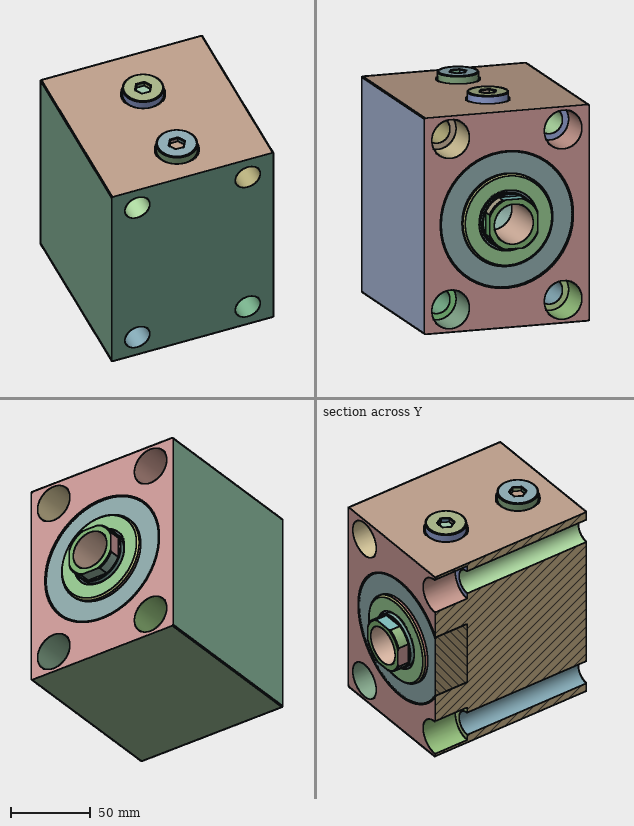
import cadquery as cq
import math


LENGTH = 118.0
WIDTH = 110.0
HEIGHT = 140.0
EDGE_CHAMFER = 0.6

BOLT_PITCH_Y = 75.0
BOLT_PITCH_Z = 110.3
BOLT_HOLE_DIAMETER = 17.0
COUNTERBORE_DIAMETER = 25.0
COUNTERBORE_DEPTH = 25.0

GLAND_DIAMETER = 87.5
GLAND_DEPTH = 25.0
GLAND_SEAT_CHAMFER = 0.7
COLLAR_DIAMETER = 60.0
COLLAR_HEIGHT = 3.0
COLLAR_CHAMFER = 1.2
WIPER_SEAT_DIAMETER = 39.1
WIPER_SEAT_DEPTH = 1.5

ROD_DIAMETER = 36.0
ROD_PROTRUSION = 13.0
ROD_INNER_LENGTH = 50.0
HEAD_DIAMETER = 35.0
HEAD_LENGTH = 8.0
HEAD_FLATS = 32.0
HEAD_TIP_CHAMFER = 0.6
ROD_HOLE_DIAMETER = 26.0
ROD_HOLE_DEPTH = 40.0
DRILL_POINT_ANGLE = 118

PLUG_POSITIONS_X = (36.0, 91.9)
PLUG_DIAMETER = 26.0
PLUG_PROTRUSION = 4.9
PLUG_CHAMFER = 0.6
PORT_RECESS_DIAMETER = 28.0
PORT_RECESS_DEPTH = 1.0
SOCKET_SIDES = 6
SOCKET_FLATS = 9.0
SOCKET_DEPTH = 3.0
SOCKET_CHAMFER = 0.5

TOP = HEIGHT / 2


def rod_axis_cylinder(diameter, start, end):
    """Cylinder on the X axis between two X positions."""
    return cq.Workplane("YZ", origin=(start, 0, 0)).circle(diameter / 2).extrude(end - start)


def make_housing():
    block = cq.Workplane("XY").box(LENGTH, WIDTH, HEIGHT).translate((LENGTH / 2, 0, 0))
    block = block.edges("|X").chamfer(EDGE_CHAMFER)

    gland_seat = rod_axis_cylinder(GLAND_DIAMETER, 0, GLAND_DEPTH)
    block = block.cut(gland_seat)
    block = block.faces("<X").edges("%CIRCLE").chamfer(GLAND_SEAT_CHAMFER)
    block = block.cut(rod_axis_cylinder(ROD_DIAMETER, 0, ROD_INNER_LENGTH))

    front = cq.Workplane("YZ").rarray(BOLT_PITCH_Y, BOLT_PITCH_Z, 2, 2)
    block = block.cut(front.circle(BOLT_HOLE_DIAMETER / 2).extrude(LENGTH))
    block = block.cut(front.circle(COUNTERBORE_DIAMETER / 2).extrude(COUNTERBORE_DEPTH))

    ports = cq.Workplane("XY", origin=(0, 0, TOP)).pushPoints([(x, 0) for x in PLUG_POSITIONS_X])
    return block.cut(ports.circle(PORT_RECESS_DIAMETER / 2).extrude(-PORT_RECESS_DEPTH))


def make_gland():
    collar = rod_axis_cylinder(COLLAR_DIAMETER, -COLLAR_HEIGHT, 0)
    collar = collar.faces("<X").chamfer(COLLAR_CHAMFER)
    gland = rod_axis_cylinder(GLAND_DIAMETER, 0, GLAND_DEPTH).union(collar)
    gland = gland.cut(rod_axis_cylinder(ROD_DIAMETER, -COLLAR_HEIGHT, GLAND_DEPTH))
    wiper_seat = rod_axis_cylinder(WIPER_SEAT_DIAMETER, -COLLAR_HEIGHT, WIPER_SEAT_DEPTH - COLLAR_HEIGHT)
    return gland.cut(wiper_seat)


def make_rod():
    tip = -ROD_PROTRUSION
    shoulder = tip + HEAD_LENGTH

    head = rod_axis_cylinder(HEAD_DIAMETER, tip, shoulder).faces("<X").chamfer(HEAD_TIP_CHAMFER)
    flats = cq.Workplane("YZ", origin=(tip, 0, 0)).rect(HEAD_FLATS, HEAD_FLATS).extrude(HEAD_LENGTH)
    head = head.intersect(flats)

    shank = rod_axis_cylinder(ROD_DIAMETER, shoulder, ROD_INNER_LENGTH)
    shank = shank.faces("<X").chamfer((ROD_DIAMETER - HEAD_DIAMETER) / 2)

    radius = ROD_HOLE_DIAMETER / 2
    bottom = tip + ROD_HOLE_DEPTH
    point = bottom + radius / math.tan(math.radians(DRILL_POINT_ANGLE / 2))
    hole = (
        cq.Workplane("XY")
        .polyline([(tip, 0), (tip, radius), (bottom, radius), (point, 0)])
        .close()
        .revolve(360, (0, 0), (1, 0))
    )
    return head.union(shank).cut(hole)


def make_plug(x):
    base = TOP - PORT_RECESS_DEPTH
    height = PORT_RECESS_DEPTH + PLUG_PROTRUSION
    plug = cq.Workplane("XY", origin=(x, 0, base)).circle(PLUG_DIAMETER / 2).extrude(height)
    plug = plug.faces(">Z").chamfer(PLUG_CHAMFER)

    corner_diameter = SOCKET_FLATS / math.cos(math.pi / SOCKET_SIDES)
    mouth = cq.Workplane("XY", origin=(x, 0, base + height)).transformed(rotate=(0, 0, 90))
    plug = plug.cut(mouth.polygon(SOCKET_SIDES, corner_diameter).extrude(-SOCKET_DEPTH))
    return plug.faces(">Z").edges("%LINE").chamfer(SOCKET_CHAMFER)


housing = make_housing()
gland = make_gland()
rod = make_rod()
plugs = [make_plug(x) for x in PLUG_POSITIONS_X]

result = cq.Compound.makeCompound([housing.val(), gland.val(), rod.val(), *[plug.val() for plug in plugs]])